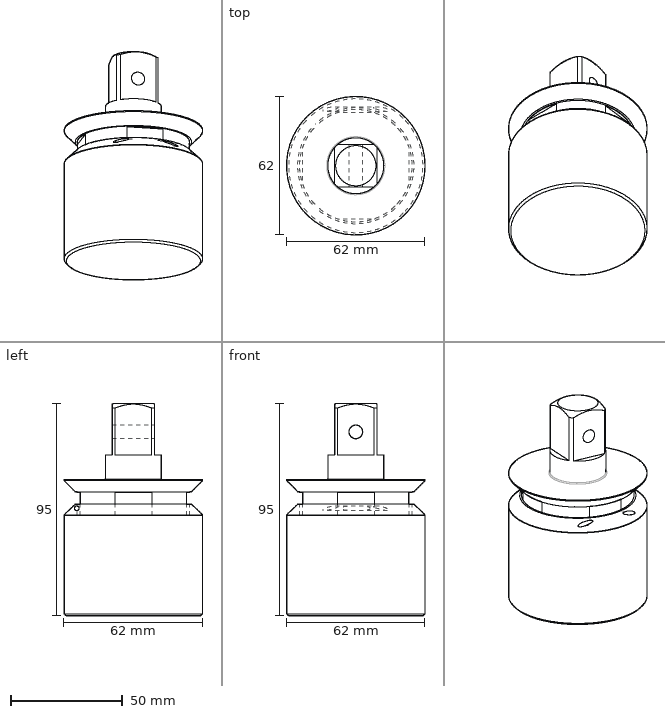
import cadquery as cq
import math

outer_radius = 31.0
face_radius = 26.0

housing_height = 45.0
base_chamfer = 1.0

cap_top = 50.0
cap_rim_height = 0.25
wire_hole_diameter = 2.0
wire_hole_y = 25.3
wire_hole_z = 48.15

neck_radius = 25.15
neck_across_flats = 47.5
neck_lip = 0.3

groove_width = 5.5
flange_rim_height = 0.5
flange_bottom = cap_top + groove_width
flange_cone_top = flange_bottom + outer_radius - face_radius
flange_top = flange_cone_top + flange_rim_height
shaft_radius = 12.5
shaft_length = 11.0
shaft_top = flange_top + shaft_length
shaft_fillet = 0.5

square_width = 19.0
spindle_top = 95.0
tip_radius = 9.0
tip_angle = 30.0
cross_hole_diameter = 6.0
cross_hole_z = 82.3


def cylinder(radius, bottom, top):
    return cq.Workplane("XY").workplane(offset=bottom).circle(radius).extrude(top - bottom)


def square_bar(width, bottom, top):
    return cq.Workplane("XY").workplane(offset=bottom).rect(width, width).extrude(top - bottom)


def revolved(points):
    """Solid of revolution about Z from (radius, height) points."""
    return cq.Workplane("XZ").polyline(points).close().revolve(360, (0, 0, 0), (0, 1, 0))


def make_housing():
    return cylinder(outer_radius, 0, housing_height).faces("<Z").chamfer(base_chamfer)


def make_cap():
    """Conical ring around the neck, with a small hole along X beside one neck flat."""
    ring = revolved([
        (neck_radius, housing_height),
        (outer_radius, housing_height),
        (outer_radius, housing_height + cap_rim_height),
        (face_radius, cap_top),
        (neck_radius, cap_top),
    ])
    wire_hole = (
        cq.Workplane("YZ")
        .center(wire_hole_y, wire_hole_z)
        .circle(wire_hole_diameter / 2)
        .extrude(outer_radius, both=True)
    )
    return ring.cut(wire_hole)


def make_neck():
    """Round neck with four flats that stop just below the flange."""
    flat_top = flange_bottom - neck_lip
    flatted = cylinder(neck_radius, housing_height, flat_top).intersect(
        square_bar(neck_across_flats, housing_height, flat_top)
    )
    return flatted.union(cylinder(neck_radius, flat_top, flange_bottom))


def make_flange_and_shaft():
    """Conical flange and round shaft, joined by a small fillet."""
    fillet_mid = shaft_fillet * (1 - math.sqrt(0.5))
    profile = (
        cq.Workplane("XZ")
        .moveTo(0, flange_bottom)
        .lineTo(face_radius, flange_bottom)
        .lineTo(outer_radius, flange_cone_top)
        .lineTo(outer_radius, flange_top)
        .lineTo(shaft_radius + shaft_fillet, flange_top)
        .threePointArc(
            (shaft_radius + fillet_mid, flange_top + fillet_mid),
            (shaft_radius, flange_top + shaft_fillet),
        )
        .lineTo(shaft_radius, shaft_top)
        .lineTo(0, shaft_top)
        .close()
    )
    return profile.revolve(360, (0, 0, 0), (0, 1, 0))


def make_square_drive():
    """Square end whose corners follow the shaft, with a conical tip and a cross hole."""
    tip_height = (shaft_radius - tip_radius) * math.tan(math.radians(tip_angle))
    envelope = revolved([
        (0, shaft_top),
        (shaft_radius, shaft_top),
        (shaft_radius, spindle_top - tip_height),
        (tip_radius, spindle_top),
        (0, spindle_top),
    ])
    cross_hole = (
        cq.Workplane("XZ")
        .center(0, cross_hole_z)
        .circle(cross_hole_diameter / 2)
        .extrude(square_width, both=True)
    )
    return square_bar(square_width, shaft_top, spindle_top).intersect(envelope).cut(cross_hole)


def make_spindle():
    return make_neck().union(make_flange_and_shaft()).union(make_square_drive())


housing = make_housing()
cap = make_cap()
spindle = make_spindle()

result = cq.Compound.makeCompound([housing.val(), cap.val(), spindle.val()])